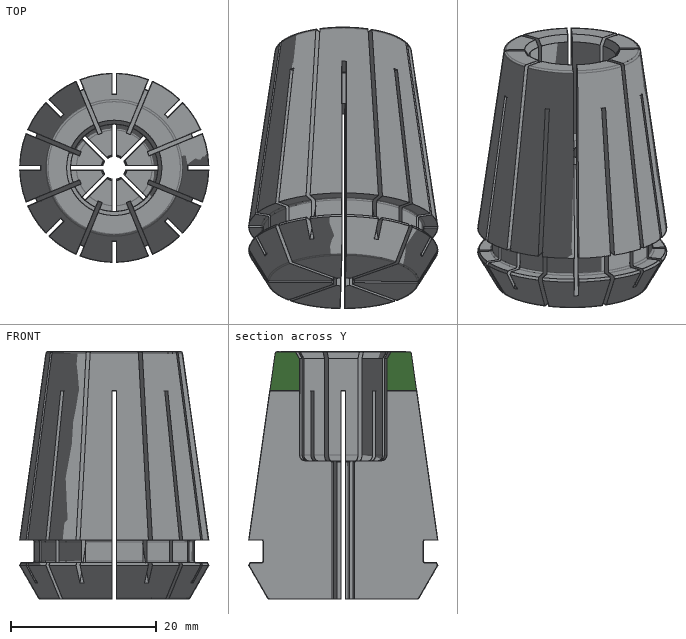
import cadquery as cq
import math

overall_height = 34.0
max_radius = 13.0
main_half_angle = 8.0
nose_half_angle = 30.0

groove_bottom = 5.0
groove_top = 8.1
groove_radius = 11.0
groove_fillet = 0.25
selection_margin = 0.1
rim_chamfer_height = 0.36
rim_chamfer_width = 0.2
nose_end_fillet = 0.25
back_end_fillet = 0.3

clamp_hole_radius = 1.58
clamp_hole_chamfer = 0.2
relief_radius = 6.0
relief_floor = 19.0
relief_floor_fillet = 0.8
relief_mouth_radius = 6.55
relief_mouth_depth = 0.95

slots_per_end = 8
slot_width = 0.6
slot_pitch = 360.0 / slots_per_end
nose_slot_top = 28.6
back_slot_outer_radius = 11.55
back_slot_outer_height = 2.25
back_slot_inner_radius = 5.05
slot_overrun = 1.0
slot_reach = max_radius + slot_overrun


def cone_rise(height, half_angle):
    """Change of radius of a cone over a height."""
    return height * math.tan(math.radians(half_angle))


def make_body():
    """Solid of revolution of the outside of the collet."""
    rim_height = groove_bottom - rim_chamfer_height
    nose_face_radius = max_radius - cone_rise(rim_height, nose_half_angle)
    back_face_radius = max_radius - cone_rise(overall_height - groove_top, main_half_angle)
    profile = (
        cq.Workplane("XZ")
        .lineTo(nose_face_radius, 0)
        .lineTo(max_radius, rim_height)
        .lineTo(max_radius - rim_chamfer_width, groove_bottom)
        .lineTo(groove_radius, groove_bottom)
        .lineTo(groove_radius, groove_top)
        .lineTo(max_radius, groove_top)
        .lineTo(back_face_radius, overall_height)
        .lineTo(0, overall_height)
        .close()
    )
    body = profile.revolve(360, (0, 0, 0), (0, 1, 0))
    body = body.faces("<Z").edges().fillet(nose_end_fillet)
    body = body.faces(">Z").edges().fillet(back_end_fillet)
    corner_box_radius = groove_radius + selection_margin
    groove_corners = cq.selectors.BoxSelector(
        (-corner_box_radius, -corner_box_radius, groove_bottom - selection_margin),
        (corner_box_radius, corner_box_radius, groove_top + selection_margin),
        boundingbox=True,
    )
    return body.edges(groove_corners).fillet(groove_fillet)


def make_bore():
    """Clamping hole with the wider relief bore behind it."""
    mouth_bottom = overall_height - relief_mouth_depth
    floor_edge_radius = relief_radius - relief_floor_fillet
    arc_offset = relief_floor_fillet * math.sqrt(0.5)
    return (
        cq.Workplane("XZ")
        .lineTo(clamp_hole_radius, 0)
        .lineTo(clamp_hole_radius, relief_floor - clamp_hole_chamfer)
        .lineTo(clamp_hole_radius + clamp_hole_chamfer, relief_floor)
        .lineTo(floor_edge_radius, relief_floor)
        .threePointArc(
            (floor_edge_radius + arc_offset, relief_floor + relief_floor_fillet - arc_offset),
            (relief_radius, relief_floor + relief_floor_fillet),
        )
        .lineTo(relief_radius, mouth_bottom)
        .lineTo(relief_mouth_radius, overall_height)
        .lineTo(0, overall_height)
        .close()
        .revolve(360, (0, 0, 0), (0, 1, 0))
    )


def make_nose_slot():
    """Radial slot open at the nose face."""
    return cq.Workplane("XY").box(
        slot_reach, slot_width, nose_slot_top, centered=(False, True, False)
    )


def make_back_slot():
    """Radial slot open at the back face, its floor sloping down to the nose rim."""
    floor_drop = relief_floor - back_slot_outer_height
    floor_slope = floor_drop / (back_slot_outer_radius - back_slot_inner_radius)
    reach_height = back_slot_outer_height - floor_slope * (slot_reach - back_slot_outer_radius)
    return (
        cq.Workplane("XZ")
        .moveTo(back_slot_inner_radius, overall_height)
        .lineTo(back_slot_inner_radius, relief_floor)
        .lineTo(slot_reach, reach_height)
        .lineTo(slot_reach, overall_height)
        .close()
        .extrude(slot_width / 2, both=True)
    )


result = make_body().cut(make_bore())
nose_slot = make_nose_slot()
back_slot = make_back_slot()
for index in range(slots_per_end):
    angle = index * slot_pitch
    result = result.cut(nose_slot.rotate((0, 0, 0), (0, 0, 1), angle))
    result = result.cut(back_slot.rotate((0, 0, 0), (0, 0, 1), angle + slot_pitch / 2))